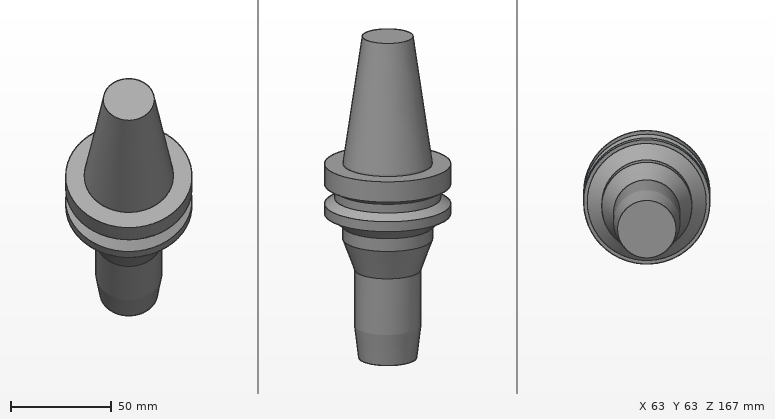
import cadquery as cq

shank_small_diameter = 25.4
shank_large_diameter = 44.5
flange_diameter = 63.0
groove_diameter = 53.0
flange_cone_diameter = 59.3
collar_diameter = 45.0
body_diameter = 33.0
nose_diameter = 29.0

total_height = 167.0
nose_top = 16.5
body_top = 45.8
shoulder_top = 61.8
collar_top = 68.5
flange_bottom = 74.8
groove_lower_edge = 80.0
groove_floor_bottom = 83.0
groove_floor_top = 87.5
groove_upper_edge = 90.2
flange_top = 100.7
shank_base_height = 0.8

profile = [
    (nose_diameter, 0),
    (body_diameter, nose_top),
    (body_diameter, body_top),
    (collar_diameter, shoulder_top),
    (collar_diameter, collar_top),
    (flange_cone_diameter, flange_bottom),
    (flange_diameter, flange_bottom),
    (flange_diameter, groove_lower_edge),
    (groove_diameter, groove_floor_bottom),
    (groove_diameter, groove_floor_top),
    (flange_diameter, groove_upper_edge),
    (flange_diameter, flange_top),
    (shank_large_diameter, flange_top),
    (shank_large_diameter, flange_top + shank_base_height),
    (shank_small_diameter, total_height),
]
outline = [(diameter / 2, height) for diameter, height in profile]

result = (
    cq.Workplane("XZ")
    .moveTo(0, 0)
    .polyline(outline, includeCurrent=True)
    .lineTo(0, total_height)
    .close()
    .revolve(360, (0, 0), (0, 1))
)